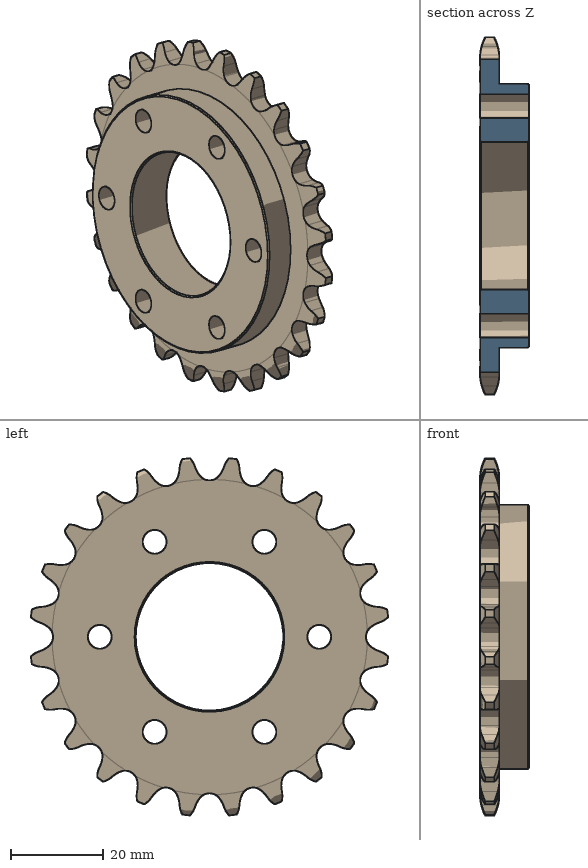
import cadquery as cq
import math

overall_width = 10.7
overall_diameter = 77.55

tooth_count = 24
plate_thickness = 4.3
tip_land_width = 1.95
relief_start_radius = 34.2

gap_root = (0.0, 34.0)
seat_end = (2.0, 34.9)
flank_end = (3.1, 36.85)
tip_corner = (4.3, overall_diameter / 2)
tip_radius = math.hypot(*tip_corner)

hub_radius = 28.7
bore_radius = 16.0
edge_chamfer = 0.3
hole_count = 6
hole_diameter = 5.1
hole_circle_radius = 23.8

clearance = 0.8


def make_turned_body():
    """Plate and hub as one turned ring, with both rim sides rounded towards the tooth tips."""
    relief_depth = (plate_thickness - tip_land_width) / 2
    relief_height = tip_radius - relief_start_radius
    relief_radius = (relief_height**2 + relief_depth**2) / (2 * relief_depth)
    half_sweep = math.asin(relief_height / relief_radius) / 2
    middle_depth = relief_radius * (1 - math.cos(half_sweep))
    middle_radius = relief_start_radius + relief_radius * math.sin(half_sweep)

    profile = (
        cq.Workplane("XY")
        .moveTo(0, bore_radius + edge_chamfer)
        .lineTo(0, relief_start_radius)
        .threePointArc((middle_depth, middle_radius), (relief_depth, tip_radius))
        .lineTo(plate_thickness - relief_depth, tip_radius)
        .threePointArc(
            (plate_thickness - middle_depth, middle_radius),
            (plate_thickness, relief_start_radius),
        )
        .lineTo(plate_thickness, hub_radius)
        .lineTo(overall_width - edge_chamfer, hub_radius)
        .lineTo(overall_width, hub_radius - edge_chamfer)
        .lineTo(overall_width, bore_radius + edge_chamfer)
        .lineTo(overall_width - edge_chamfer, bore_radius)
        .lineTo(edge_chamfer, bore_radius)
        .close()
    )
    return profile.revolve(360, (0, 0, 0), (1, 0, 0))


def make_gap_cutter():
    """Tool for the gap at the top: a seat arc, a hollow flank arc and a rounded tip arc."""
    outside = tip_radius + clearance
    one_side = (
        cq.Workplane("YZ")
        .moveTo(-seat_end[0], seat_end[1])
        .threePointArc(gap_root, seat_end)
        .tangentArcPoint(flank_end, relative=False)
        .tangentArcPoint(tip_corner, relative=False)
        .lineTo(tip_corner[0], outside)
        .lineTo(0, outside)
        .close()
        .extrude(plate_thickness)
    )
    return one_side.union(one_side.mirror("XZ"))


def cut_tooth_gaps(body):
    cutter = make_gap_cutter()
    for index in range(tooth_count):
        angle = index * 360 / tooth_count
        body = body.cut(cutter.rotate((0, 0, 0), (1, 0, 0), angle))
    return body


def cut_bolt_holes(body):
    """Through holes on a circle, the first one on the Y axis."""
    holes = (
        cq.Workplane("YZ")
        .polarArray(hole_circle_radius, 0, 360, hole_count)
        .circle(hole_diameter / 2)
        .extrude(overall_width)
    )
    return body.cut(holes)


result = cut_bolt_holes(cut_tooth_gaps(make_turned_body()))